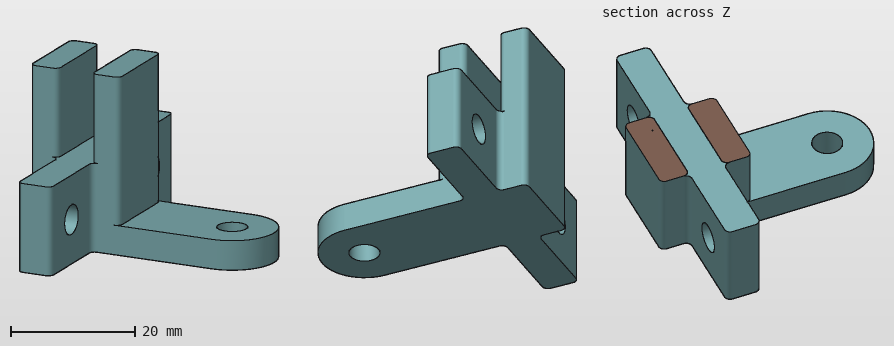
import cadquery as cq

plate_length = 45.0
plate_thickness = 6.0
plate_height = 15.0
plate_hole_spacing = 30.0

jaw_thickness = 5.0
jaw_width = 15.0
jaw_height = 30.0

lug_thickness = 5.0
lug_radius = jaw_width / 2
overall_length = 40.0

hole_diameter = 5.0
corner_radius = 1.0

plate_start = jaw_thickness
plate_end = plate_start + plate_thickness
body_length = plate_end + jaw_thickness
plate_center = (plate_start + plate_end) / 2
lug_center = overall_length - lug_radius


def block(x_start, x_end, width, height):
    """Box centred on Y = 0 that stands on Z = 0."""
    length = x_end - x_start
    return (
        cq.Workplane("XY")
        .center(x_start + length / 2, 0)
        .rect(length, width)
        .extrude(height)
    )


def rounded_block(x_start, x_end, width, height):
    """Standing box with its four vertical edges rounded."""
    return block(x_start, x_end, width, height).edges("|Z").fillet(corner_radius)


def make_base():
    """Cross-shaped lower body: outer corners rounded, inner corners filleted."""
    plate = block(plate_start, plate_end, plate_length, plate_height)
    core = block(0, body_length, jaw_width, plate_height)
    return plate.union(core).edges("|Z").fillet(corner_radius)


def make_jaws():
    """Jaws that leave an open slot above the plate."""
    first = rounded_block(0, plate_start, jaw_width, jaw_height)
    second = rounded_block(plate_end, body_length, jaw_width, jaw_height)
    return first.union(second)


def make_lug():
    """Flat lug with a full-radius end, flush with the bottom of the body."""
    arm = block(plate_center, lug_center, jaw_width, lug_thickness)
    end = cq.Workplane("XY").center(lug_center, 0).circle(lug_radius).extrude(lug_thickness)
    return arm.union(end)


def make_lug_hole():
    """Vertical through hole, concentric with the lug end."""
    return (
        cq.Workplane("XY")
        .center(lug_center, 0)
        .circle(hole_diameter / 2)
        .extrude(lug_thickness)
    )


def make_plate_holes():
    """One hole through each wing of the plate, at mid height."""
    hole_y = plate_hole_spacing / 2
    return (
        cq.Workplane("YZ", origin=(plate_start, 0, plate_height / 2))
        .pushPoints([(-hole_y, 0), (hole_y, 0)])
        .circle(hole_diameter / 2)
        .extrude(plate_thickness)
    )


body = make_base().union(make_jaws()).union(make_lug())
result = body.cut(make_lug_hole()).cut(make_plate_holes())